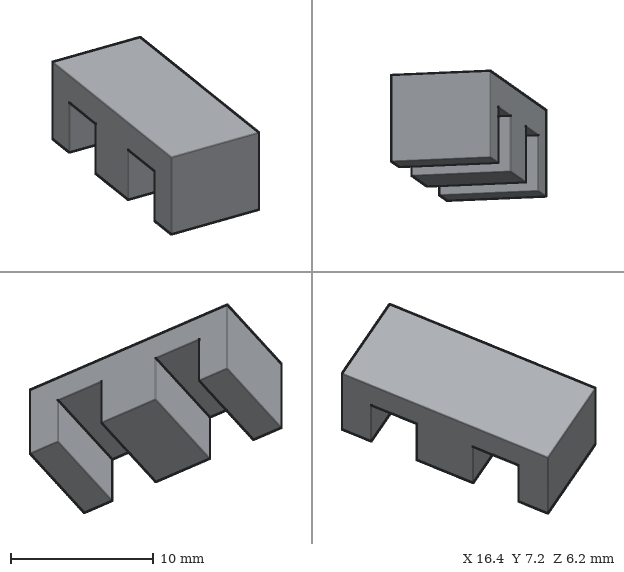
import cadquery as cq

length = 16.4
depth = 7.2
height = 6.2

center_leg_width = 4.53
slot_width = 3.58
slot_height = 3.99
slot_offset = (center_leg_width + slot_width) / 2

edge_radius = 0.05


def slot_cutter(center_x):
    """Rectangular slot open at the bottom, running through the full depth."""
    return (
        cq.Workplane("XY")
        .center(center_x, 0)
        .rect(slot_width, depth)
        .extrude(slot_height)
    )


core = cq.Workplane("XY").box(length, depth, height, centered=(True, True, False))
for side in (-1, 1):
    core = core.cut(slot_cutter(side * slot_offset))

roof_zone = cq.selectors.BoxSelector(
    (-length, -depth, slot_height - edge_radius),
    (length, depth, slot_height + edge_radius),
)
inner_corners = roof_zone & cq.selectors.StringSyntaxSelector("|Y")
all_edges = cq.selectors.Selector()
result = core.edges(all_edges - inner_corners).fillet(edge_radius)